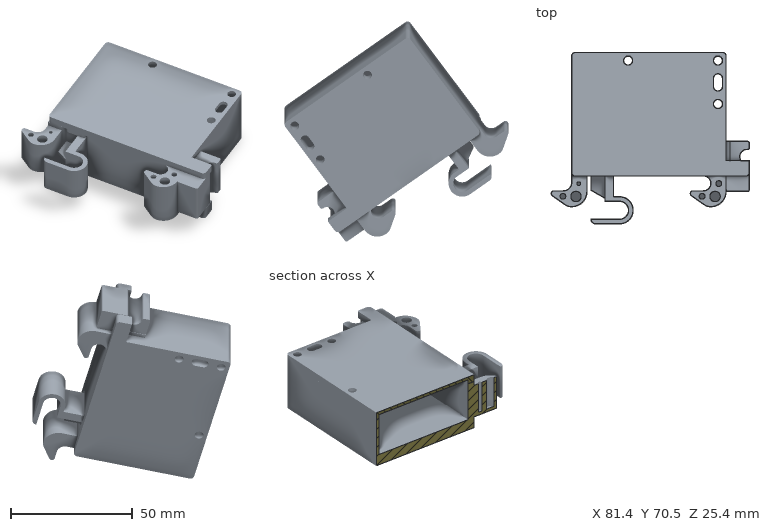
import cadquery as cq
import math

CASE_WIDTH = 63.5
CASE_DEPTH = 50.8
CASE_HEIGHT = 25.4
COVER_THICKNESS = 3.175
COVER_SKIN = COVER_THICKNESS / 2
COVER_BOTTOM = CASE_HEIGHT - COVER_THICKNESS
FLOOR_TOP = 5.08
WALL = 1.5875
FRONT_WALL = 2 * WALL
CORNER_RADIUS = 1.5
EAR_LENGTH = 9.525
EAR_DEPTH = 6.35
EAR_BACK_RADIUS = 0.8
CASE_RIGHT = CASE_WIDTH + EAR_LENGTH

HOLE_DIAMETER = 3.6
HOLE_COLUMN_X = CASE_WIDTH - WALL - HOLE_DIAMETER / 2
BACK_ROW_Y = CASE_DEPTH - WALL - HOLE_DIAMETER / 2
LEFT_HOLE_X = 23.2
FRONT_HOLE_Y = 29.6
MOUNTING_HOLES = [
    (LEFT_HOLE_X, BACK_ROW_Y),
    (HOLE_COLUMN_X, BACK_ROW_Y),
    (HOLE_COLUMN_X, FRONT_HOLE_Y),
]
SLOT_LENGTH = 7.0
SLOT_Y = 38.45

GATE_LEFT = 7.9375
GATE_WIDTH = 9.525
GATE_RIGHT = GATE_LEFT + GATE_WIDTH
GATE_LEFT_RADIUS = FRONT_WALL
GATE_RIGHT_RADIUS = 1.5875
TAB_BOTTOM = 20.5

CLIP_WIDTH = 6.35
CLIP_REACH = 12.65
LEFT_JAW_RADIUS = 3.4
RIGHT_JAW_RADIUS = 3.06
JAW_FLAT_Y = -6.05
TIP_RADIUS = 1.15
TIP_X = -8.415
HEEL_RADIUS = 4.7625
LEFT_CLIP_BOTTOM = FLOOR_TOP
LEFT_CLIP_TOP = 20.32
RIGHT_CLIP_BOTTOM = 3.175
RIGHT_CLIP_TOP = COVER_BOTTOM
LARGE_CLIP_HOLE = (1.8, -8.4, 4.3)
TIP_CLIP_HOLE = (-3.57, -8.33, 2.4)
LEFT_ROOT_HOLE = (2.95, -3.15, 1.5)
RIGHT_ROOT_HOLE = (3.3, -3.1, 2.4)
CLIP_HOLE_FLOOR = 1.5875

HOOK_BOTTOM = 5.35
HOOK_TOP = 20.32
HOOK_PLATE_FRONT = 1.03
COLUMN_LEFT = 13.7
COLUMN_RIGHT = 17.25
HOOK_THICKNESS = 1.95
HOOK_OUTER_RADIUS = 5.6
HOOK_END_Y = -19.68
HOOK_BEND_X = 19.7
GUSSET_THICKNESS = 2.3
GUSSET_SHORT_Y = -5.85
GUSSET_LONG_Y = -9.15

BLOCK_BOTTOM = 5.3
BLOCK_FRONT = -6.35
BLOCK_BACK = 14.2875
BLOCK_CORNER_RADIUS = 0.8
GUIDE_PAD = 1.5875
NOTCH_RADIUS = 2.95
NOTCH_X = 72.07
NOTCH_Y = 7.94


def prism(x0, x1, y0, y1, z0, z1):
    """A box given by its two limits along each axis."""
    return cq.Workplane().box(x1 - x0, y1 - y0, z1 - z0, centered=False).translate((x0, y0, z0))


def case_plate(bottom, top):
    """The case outline with its ear, rounded at the left, front and back corners."""
    body = prism(0, CASE_WIDTH, 0, CASE_DEPTH, bottom, top)
    ear = prism(0, CASE_RIGHT, 0, EAR_DEPTH, bottom, top)
    plate = body.union(ear)
    return plate.edges("|Z and (<X or <Y or >Y)").fillet(CORNER_RADIUS)


def mounting_cutter():
    """Tools for the round holes and the slot, through the whole case."""
    holes = cq.Workplane().pushPoints(MOUNTING_HOLES).circle(HOLE_DIAMETER / 2).extrude(CASE_HEIGHT)
    slot = cq.Workplane().center(HOLE_COLUMN_X, SLOT_Y).slot2D(SLOT_LENGTH, HOLE_DIAMETER, 90)
    return holes.union(slot.extrude(CASE_HEIGHT))


def point_on_arc(centre, radius, angle):
    """The point of a circle at an angle, in radians from the X axis."""
    return (centre[0] + radius * math.cos(angle), centre[1] + radius * math.sin(angle))


def clip(edge_x, bottom, top, jaw_radius, root_hole):
    """A hooked rail clip whose outer left edge is at edge_x, with blind holes from the top."""
    tip = (TIP_X + TIP_RADIUS, JAW_FLAT_Y - TIP_RADIUS)
    heel = (0, HEEL_RADIUS - CLIP_REACH)
    toe = (0, CLIP_WIDTH - CLIP_REACH)
    jaw = (-jaw_radius, JAW_FLAT_Y + jaw_radius)
    run = heel[0] - tip[0]
    drop = heel[1] - tip[1]
    flank_angle = math.atan2(drop, run) - math.acos((TIP_RADIUS - HEEL_RADIUS) / math.hypot(run, drop))
    down = -math.pi / 2
    up_from_flank = math.pi / 2 - 2 * math.pi
    tip_middle = (flank_angle + up_from_flank) / 2
    heel_middle = (flank_angle + down) / 2
    lower_right = -math.pi / 4

    profile = (
        cq.Workplane()
        .moveTo(0, 0)
        .lineTo(0, jaw[1])
        .threePointArc(point_on_arc(jaw, jaw_radius, lower_right), (jaw[0], JAW_FLAT_Y))
        .lineTo(tip[0], JAW_FLAT_Y)
        .threePointArc(point_on_arc(tip, TIP_RADIUS, tip_middle), point_on_arc(tip, TIP_RADIUS, flank_angle))
        .lineTo(*point_on_arc(heel, HEEL_RADIUS, flank_angle))
        .threePointArc(point_on_arc(heel, HEEL_RADIUS, heel_middle), (0, -CLIP_REACH))
        .threePointArc(point_on_arc(toe, CLIP_WIDTH, lower_right), (CLIP_WIDTH, toe[1]))
        .lineTo(CLIP_WIDTH, 0)
        .close()
    )
    body = profile.extrude(top - bottom)
    for x, y, diameter in (LARGE_CLIP_HOLE, TIP_CLIP_HOLE, root_hole):
        hole = cq.Workplane().center(x, y).circle(diameter / 2).extrude(top - bottom)
        body = body.cut(hole.translate((0, 0, CLIP_HOLE_FLOOR)))
    return body.translate((edge_x, 0, bottom))


def right_clip():
    """The right clip: a web fills the space between its jaw and the front wall."""
    edge_x = CASE_WIDTH - CLIP_WIDTH
    body = clip(edge_x, RIGHT_CLIP_BOTTOM, RIGHT_CLIP_TOP, RIGHT_JAW_RADIUS, RIGHT_ROOT_HOLE)
    jaw_x = edge_x - RIGHT_JAW_RADIUS
    jaw_y = JAW_FLAT_Y + RIGHT_JAW_RADIUS
    web = prism(jaw_x, edge_x, jaw_y, 0, RIGHT_CLIP_BOTTOM, RIGHT_CLIP_TOP)
    jaw = cq.Workplane().center(jaw_x, jaw_y).circle(RIGHT_JAW_RADIUS)
    return body.union(web.cut(jaw.extrude(CASE_HEIGHT)))


def gate_cutter():
    """The gateway through the front wall, with rounded entrance corners."""
    left = GATE_LEFT - GATE_LEFT_RADIUS
    right = GATE_RIGHT + GATE_RIGHT_RADIUS
    diagonal = math.sqrt(0.5)
    profile = (
        cq.Workplane()
        .moveTo(left, 0)
        .threePointArc(
            (left + GATE_LEFT_RADIUS * diagonal, GATE_LEFT_RADIUS * (1 - diagonal)),
            (GATE_LEFT, GATE_LEFT_RADIUS),
        )
        .lineTo(GATE_LEFT, FRONT_WALL + WALL)
        .lineTo(GATE_RIGHT, FRONT_WALL + WALL)
        .lineTo(GATE_RIGHT, GATE_RIGHT_RADIUS)
        .threePointArc(
            (right - GATE_RIGHT_RADIUS * diagonal, GATE_RIGHT_RADIUS * (1 - diagonal)),
            (right, 0),
        )
        .close()
    )
    return profile.extrude(COVER_BOTTOM - FLOOR_TOP).translate((0, 0, FLOOR_TOP))


def make_housing():
    """The tray with front gateway, guide pad and both rail clips."""
    walls = prism(0, CASE_WIDTH, 0, CASE_DEPTH, FLOOR_TOP, COVER_BOTTOM)
    walls = walls.edges("|Z and >Y").fillet(CORNER_RADIUS)
    cavity = prism(WALL, CASE_WIDTH - WALL, FRONT_WALL, CASE_DEPTH - WALL, FLOOR_TOP, COVER_BOTTOM)
    walls = walls.cut(cavity).cut(gate_cutter())
    pad = prism(CASE_WIDTH, CASE_WIDTH + GUIDE_PAD, 0, BLOCK_BACK, FLOOR_TOP, COVER_BOTTOM)
    housing = case_plate(0, FLOOR_TOP).union(walls).union(pad)
    housing = housing.union(clip(0, LEFT_CLIP_BOTTOM, LEFT_CLIP_TOP, LEFT_JAW_RADIUS, LEFT_ROOT_HOLE))
    return housing.union(right_clip()).cut(mounting_cutter())


def make_cover():
    """The lid, hollow underneath, with the tab that hangs into the gateway."""
    tab = prism(GATE_LEFT, GATE_RIGHT, 0, FRONT_WALL, TAB_BOTTOM, COVER_BOTTOM)
    tab = tab.edges("|Z and <Y").fillet(GATE_RIGHT_RADIUS)
    plate = case_plate(COVER_BOTTOM, CASE_HEIGHT)
    ear_corner = (CASE_RIGHT, EAR_DEPTH, CASE_HEIGHT)
    nearest = cq.selectors.NearestToPointSelector(ear_corner)
    plate = plate.edges("|Z").edges(nearest).fillet(EAR_BACK_RADIUS)
    recess_top = CASE_HEIGHT - COVER_SKIN
    recess = prism(WALL, CASE_WIDTH - WALL, FRONT_WALL, CASE_DEPTH - WALL, COVER_BOTTOM, recess_top)
    return plate.cut(recess).union(tab).cut(mounting_cutter())


def make_hook():
    """A spring hook on a column, braced by a gusset, on a plate that fills the gateway."""
    height = HOOK_TOP - HOOK_BOTTOM
    inner_radius = HOOK_OUTER_RADIUS - HOOK_THICKNESS
    bend_y = HOOK_END_Y + HOOK_OUTER_RADIUS
    arm_outer_y = bend_y + HOOK_OUTER_RADIUS
    arm_inner_y = bend_y + inner_radius
    leg_inner_y = bend_y - inner_radius
    diagonal = HOOK_THICKNESS * math.sqrt(0.5)
    toe_x = GATE_LEFT + HOOK_THICKNESS
    profile = (
        cq.Workplane()
        .moveTo(COLUMN_LEFT, HOOK_PLATE_FRONT)
        .lineTo(COLUMN_LEFT, arm_inner_y)
        .lineTo(HOOK_BEND_X, arm_inner_y)
        .threePointArc((HOOK_BEND_X + inner_radius, bend_y), (HOOK_BEND_X, leg_inner_y))
        .lineTo(GATE_LEFT, leg_inner_y)
        .threePointArc((toe_x - diagonal, leg_inner_y - diagonal), (toe_x, HOOK_END_Y))
        .lineTo(HOOK_BEND_X, HOOK_END_Y)
        .threePointArc((HOOK_BEND_X + HOOK_OUTER_RADIUS, bend_y), (HOOK_BEND_X, arm_outer_y))
        .lineTo(COLUMN_RIGHT, arm_outer_y)
        .lineTo(COLUMN_RIGHT, HOOK_PLATE_FRONT)
        .close()
    )
    arm = profile.extrude(height).translate((0, 0, HOOK_BOTTOM))
    plate = prism(GATE_LEFT, GATE_RIGHT, HOOK_PLATE_FRONT, FRONT_WALL, HOOK_BOTTOM, HOOK_TOP)
    gusset_outline = [
        (GATE_LEFT, HOOK_PLATE_FRONT),
        (GATE_LEFT, GUSSET_SHORT_Y),
        (COLUMN_LEFT, GUSSET_LONG_Y),
        (COLUMN_LEFT, HOOK_PLATE_FRONT),
    ]
    gusset = cq.Workplane().polyline(gusset_outline).close().extrude(GUSSET_THICKNESS)
    gusset = gusset.translate((0, 0, (HOOK_BOTTOM + HOOK_TOP - GUSSET_THICKNESS) / 2))
    return plate.union(arm).union(gusset)


def make_block():
    """The locking block, notched on its outer side and stepped around the guide pad."""
    block = prism(CASE_WIDTH, CASE_RIGHT, BLOCK_FRONT, BLOCK_BACK, BLOCK_BOTTOM, COVER_BOTTOM)
    pad_room = prism(CASE_WIDTH, CASE_WIDTH + GUIDE_PAD, 0, BLOCK_BACK, 0, COVER_BOTTOM)
    notch = cq.Workplane().center(NOTCH_X, NOTCH_Y).circle(NOTCH_RADIUS).extrude(CASE_HEIGHT)
    mouth = prism(NOTCH_X, CASE_RIGHT, NOTCH_Y - NOTCH_RADIUS, NOTCH_Y + NOTCH_RADIUS, 0, CASE_HEIGHT)
    block = block.cut(pad_room).cut(notch).cut(mouth)
    return block.edges("|Z and (>X or <Y)").fillet(BLOCK_CORNER_RADIUS)


housing = make_housing()
cover = make_cover()
hook = make_hook()
block = make_block()
result = cq.Compound.makeCompound([housing.val(), cover.val(), hook.val(), block.val()])